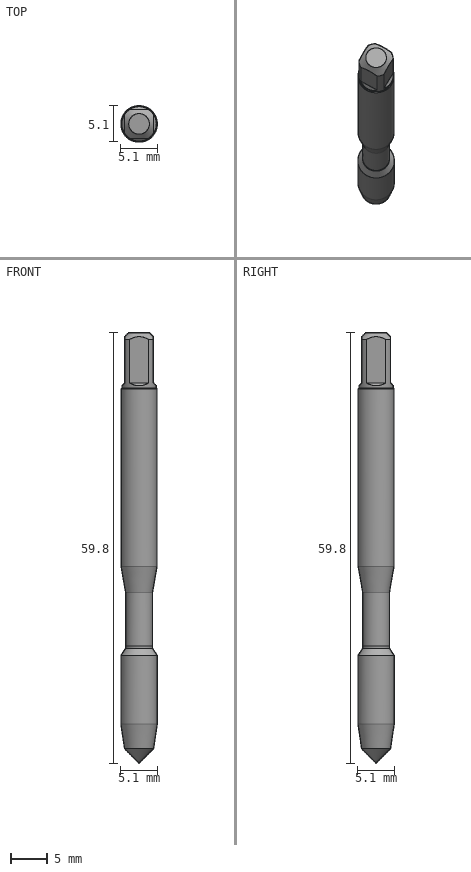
import cadquery as cq

length = 59.8

thread_diameter = 5.1
shank_diameter = 5.0
neck_diameter = 3.75
lead_end_diameter = 4.05
drive_diameter = 4.8
drive_end_diameter = 2.9

lead_top = 5.45
thread_top = 14.95
neck_bottom = 15.95
body_joint = 16.25
neck_top = 23.75
shank_bottom = 27.3
shank_top = 51.95
flats_bottom = 52.8

across_flats = 4.0

point_height = lead_end_diameter / 2
drive_shoulder_height = (shank_diameter - drive_diameter) / 2
end_chamfer_height = (drive_diameter - drive_end_diameter) / 2
flat_depth = (shank_diameter - across_flats) / 2


def revolve_profile(points):
    """Revolve a closed (radius, height) outline about the Z axis."""
    return cq.Workplane("XZ").polyline(points).close().revolve(360, (0, 0), (0, 1))


def make_cutting_head():
    """Pointed head with tapered lead, cylindrical part and a short neck stub."""
    return revolve_profile([
        (0, 0),
        (lead_end_diameter / 2, point_height),
        (thread_diameter / 2, lead_top),
        (thread_diameter / 2, thread_top),
        (neck_diameter / 2, neck_bottom),
        (neck_diameter / 2, body_joint),
        (0, body_joint),
    ])


def make_flat_cutter():
    """Material beside one drive flat, with a 45 degree run-out at its bottom."""
    flat = across_flats / 2
    outside = shank_diameter / 2
    return (
        cq.Workplane("XZ")
        .polyline([
            (flat, flats_bottom),
            (outside, flats_bottom - flat_depth),
            (outside, length),
            (flat, length),
        ])
        .close()
        .extrude(shank_diameter / 2, both=True)
    )


def make_shank():
    """Neck, flared shank and square drive with a chamfered end."""
    shank = revolve_profile([
        (0, body_joint),
        (neck_diameter / 2, body_joint),
        (neck_diameter / 2, neck_top),
        (shank_diameter / 2, shank_bottom),
        (shank_diameter / 2, shank_top),
        (drive_diameter / 2, shank_top + drive_shoulder_height),
        (drive_diameter / 2, length - end_chamfer_height),
        (drive_end_diameter / 2, length),
        (0, length),
    ])
    flat_cutter = make_flat_cutter()
    for angle in (0, 90, 180, 270):
        shank = shank.cut(flat_cutter.rotate((0, 0, 0), (0, 0, 1), angle))
    return shank


cutting_head = make_cutting_head()
shank = make_shank()
result = cq.Compound.makeCompound([cutting_head.val(), shank.val()])